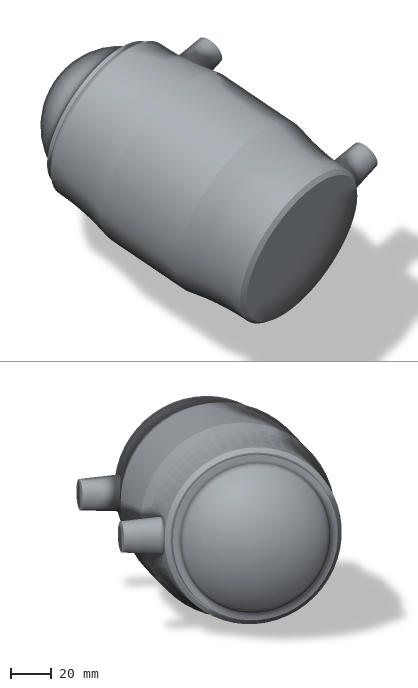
import cadquery as cq
import math

dome_seam_x = 24.1
collar_x = 27.0
body_x = 29.9
barrel_start_x = 69.0
barrel_end_x = 116.6
total_length = 155.7

dome_base_diameter = 75.0
collar_diameter = 82.5
face_diameter = 84.4
shoulder_diameter = 88.8
barrel_diameter = 98.0
chamfer = (shoulder_diameter - face_diameter) / 2

peg_positions = (42.7, 142.5)
peg_tip_y = 113.0 - barrel_diameter / 2
peg_tip_diameter = 15.4
peg_root_diameter = 18.4
peg_length = 21.8

dome_radius = (collar_x**2 + (dome_base_diameter / 2) ** 2) / (2 * collar_x)


def dome_height(x):
    """Distance of the spherical surface from the axis at station x."""
    return math.sqrt(x * (2 * dome_radius - x))


def flare_middle(shoulder_x, barrel_x):
    """Middle point of a concave arc that leaves the shoulder parallel to the axis."""
    length = barrel_x - shoulder_x
    rise = (barrel_diameter - shoulder_diameter) / 2
    radius = (length**2 + rise**2) / (2 * rise)
    half_length = length / 2
    half_rise = radius - math.sqrt(radius**2 - half_length**2)
    return shoulder_x + half_length, shoulder_diameter / 2 + half_rise


def make_body():
    front_shoulder_x = body_x + chamfer
    rear_shoulder_x = total_length - chamfer
    barrel_radius = barrel_diameter / 2
    shoulder_radius = shoulder_diameter / 2
    dome_middle_x = dome_seam_x / 2
    profile = (
        cq.Workplane("XY")
        .moveTo(0, 0)
        .threePointArc(
            (dome_middle_x, dome_height(dome_middle_x)),
            (dome_seam_x, dome_height(dome_seam_x)),
        )
        .lineTo(collar_x, dome_base_diameter / 2)
        .lineTo(collar_x, collar_diameter / 2)
        .lineTo(body_x, collar_diameter / 2)
        .lineTo(body_x, face_diameter / 2)
        .lineTo(front_shoulder_x, shoulder_radius)
        .threePointArc(
            flare_middle(front_shoulder_x, barrel_start_x),
            (barrel_start_x, barrel_radius),
        )
        .lineTo(barrel_end_x, barrel_radius)
        .threePointArc(
            flare_middle(rear_shoulder_x, barrel_end_x),
            (rear_shoulder_x, shoulder_radius),
        )
        .lineTo(total_length, face_diameter / 2)
        .lineTo(total_length, 0)
        .close()
    )
    return profile.revolve(360, (0, 0, 0), (1, 0, 0))


def make_peg(x):
    """Cone running from inside the body out to the peg tip."""
    root = cq.Vector(x, peg_tip_y - peg_length, 0)
    cone = cq.Solid.makeCone(
        peg_root_diameter / 2, peg_tip_diameter / 2, peg_length, root, cq.Vector(0, 1, 0)
    )
    return cq.Workplane(cone)


result = make_body()
for peg_x in peg_positions:
    result = result.union(make_peg(peg_x))